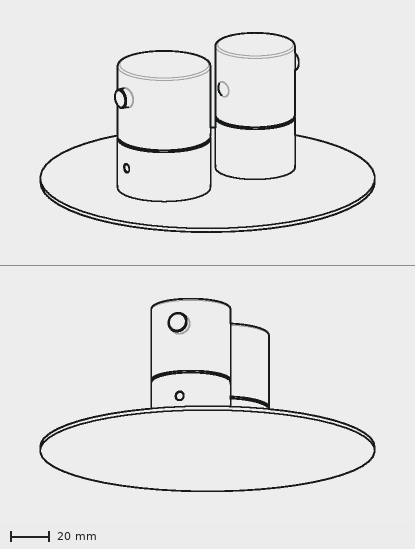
import cadquery as cq

plate_diameter = 173.0
plate_thickness = 2.0

rim_height = 68.9
rim_fillet = 1.0
groove_depth = 0.5
groove_width = 1.0
peg_radius = 5.0
peg_height = 55.4
peg_projection = 4.2
peg_chamfer = 0.5
button_sphere_radius = 5.0
button_projection = 1.9
root_fillet = 0.3
screw_hole_radius = 2.5
screw_hole_floor_radius = 2.0
screw_hole_depth = 0.3
screw_hole_height = 17.0

large_radius = 24.0
large_center_y = -27.9
large_apex_height = 69.2
large_groove_bottom = 28.7
large_button_height = 49.3
small_radius = 20.6
small_center_y = 30.5
small_apex_height = 69.4
small_groove_bottom = 29.2
small_button_height = 48.5


def make_plate():
    return cq.Workplane("XY").circle(plate_diameter / 2).extrude(plate_thickness)


def handle_barrel(radius, apex_height, groove_bottom):
    """Grooved barrel with a rounded rim and a very flat conical top, turned about Z."""
    groove_top = groove_bottom + groove_width
    groove_radius = radius - groove_depth
    fillet_mid = rim_fillet * 0.5 ** 0.5
    profile = (
        cq.Workplane("XZ")
        .moveTo(0, plate_thickness)
        .lineTo(radius, plate_thickness)
        .lineTo(radius, groove_bottom)
        .lineTo(groove_radius, groove_bottom)
        .lineTo(groove_radius, groove_top)
        .lineTo(radius, groove_top)
        .lineTo(radius, rim_height - rim_fillet)
        .threePointArc(
            (radius - rim_fillet + fillet_mid, rim_height - rim_fillet + fillet_mid),
            (radius - rim_fillet, rim_height),
        )
        .lineTo(0, apex_height)
        .close()
    )
    return profile.revolve(360, (0, 0, 0), (0, 1, 0))


def grip_peg(radius):
    """Round peg with a chamfered end, pointing to -Y from the handle axis."""
    return (
        cq.Workplane("XZ")
        .center(0, peg_height)
        .circle(peg_radius)
        .extrude(radius + peg_projection)
        .faces("<Y")
        .chamfer(peg_chamfer)
    )


def stop_button(radius, button_height):
    """Domed button on the side opposite the peg."""
    center_y = radius + button_projection - button_sphere_radius
    return cq.Workplane("XY").sphere(button_sphere_radius).translate((0, center_y, button_height))


def screw_hole(radius):
    """Shallow blind hole with a tapered wall in the lower barrel, below the peg."""
    return (
        cq.Workplane("XZ", origin=(0, -radius, screw_hole_height))
        .circle(screw_hole_radius)
        .workplane(offset=-screw_hole_depth)
        .circle(screw_hole_floor_radius)
        .loft()
    )


def root_edges(reach, height):
    """Selector for the edge where a peg or button meets the barrel wall at y = reach."""
    half_size = peg_radius + peg_chamfer
    wall_band = 1.4
    return cq.selectors.BoxSelector(
        (-half_size, reach - wall_band, height - half_size),
        (half_size, reach + wall_band, height + half_size),
    )


def make_handle(radius, center_y, apex_height, groove_bottom, button_height, turn):
    handle = (
        handle_barrel(radius, apex_height, groove_bottom)
        .union(grip_peg(radius))
        .union(stop_button(radius, button_height))
        .edges(root_edges(-radius, peg_height))
        .fillet(root_fillet)
        .edges(root_edges(radius, button_height))
        .fillet(root_fillet)
        .cut(screw_hole(radius))
    )
    return handle.rotate((0, 0, 0), (0, 0, 1), turn).translate((0, center_y, 0))


plate = make_plate()
large_handle = make_handle(
    large_radius, large_center_y, large_apex_height, large_groove_bottom, large_button_height, turn=0
)
small_handle = make_handle(
    small_radius, small_center_y, small_apex_height, small_groove_bottom, small_button_height, turn=180
)

result = cq.Compound.makeCompound([plate.val(), large_handle.val(), small_handle.val()])